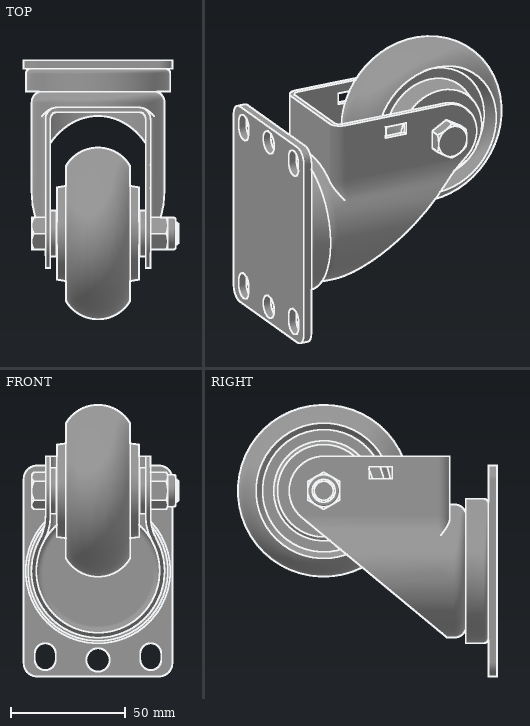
import cadquery as cq
import math


total_width = 67.5
total_depth = 113.0
total_height = 118.5
axle_height = 35.0

plate_width = 64.9
plate_height = 92.0
plate_thickness = 3.8
plate_corner = 6.0
slot_width = 9.0
slot_length = 11.6
slot_x = 23.0
slot_z = 37.3
center_hole_diameter = 10.1
center_hole_z = 38.7

ring_radius = 31.5
ring_end = 13.7
ring_wall = 1.1
ring_fillet = 2.0
ring_recess = 5.9
raceway_radius = 17.8

sheet = 2.1
dome_radius = 29.0
dome_base = 13.5
leg_outer = 22.9
leg_end_radius = 15.0
flare_radius = 20.0
channel_base = 20.6
bend_radius = 5.0
slant_angle = math.radians(39.6)
window_length = 10.2
window_height = 5.1
window_depth = 50.7
window_z = 42.8

wheel_radius = total_height - plate_height / 2 - axle_height
axle_depth = total_depth - wheel_radius
tire_half_width = 14.0
tire_edge_radius = 29.5
recess_floor_radius = 26.7
recess_curve_radius = 7.1
web_half_width = 8.0
hub_half_width = 17.9
hub_radius = 20.1
hub_root_radius = 21.8

spacer_radius = 10.1
spacer_gap = 0.2
bolt_radius = 5.0
hex_across_flats = 14.0
head_chamfer = 1.0
nut_chamfer = 0.6
head_end = 28.9
nut_end = 30.3
collar_radius = 7.0
collar_end = 33.9
collar_fillet = 1.0
bolt_end = total_width - plate_width / 2
bolt_tip_chamfer = 0.8

fork_top = axle_height + leg_end_radius
leg_inner = leg_outer - sheet


def at_depth(depth):
    """Workplane parallel to the plate, facing away from it."""
    return cq.Workplane("XZ", origin=(0, -depth, 0))


def at_axle(x):
    """Workplane normal to the axle, centred on it, facing +X."""
    return cq.Workplane("YZ", origin=(x, -axle_depth, axle_height))


def make_plate():
    plate = at_depth(0).rect(plate_width, plate_height).extrude(plate_thickness)
    plate = plate.edges("|Y").fillet(plate_corner)
    slots = (
        at_depth(0)
        .rect(2 * slot_x, 2 * slot_z, forConstruction=True)
        .vertices()
        .slot2D(slot_length, slot_width, 90)
        .extrude(plate_thickness)
    )
    holes = (
        at_depth(0)
        .pushPoints([(0, center_hole_z), (0, -center_hole_z)])
        .circle(center_hole_diameter / 2)
        .extrude(plate_thickness)
    )
    return plate.cut(slots).cut(holes)


def make_ring():
    ring = at_depth(plate_thickness).circle(ring_radius).extrude(ring_end - plate_thickness)
    ring = ring.faces(">Y").edges().fillet(ring_fillet)
    recess = at_depth(ring_end - ring_recess).circle(ring_radius - ring_wall).extrude(ring_recess)
    raceway = at_depth(ring_end - ring_recess).circle(raceway_radius).extrude(ring_recess)
    return ring.cut(recess).union(raceway)


def channel_outline(offset, top):
    """Keyhole outline of the fork, moved inward by offset: legs, flares and round bottom."""
    leg = leg_outer - offset
    round_radius = dome_radius - offset
    flare = flare_radius + offset
    center_x = leg + flare
    reach = round_radius + flare
    flare_start = math.sqrt(reach**2 - center_x**2)
    flare_angle = math.atan2(flare_start, center_x)
    tangent_x = round_radius * math.cos(flare_angle)
    tangent_z = round_radius * math.sin(flare_angle)
    middle_x = center_x - flare * math.cos(flare_angle / 2)
    middle_z = flare_start - flare * math.sin(flare_angle / 2)
    return (
        at_depth(channel_base + offset)
        .moveTo(-leg, top)
        .lineTo(-leg, flare_start)
        .threePointArc((-middle_x, middle_z), (-tangent_x, tangent_z))
        .threePointArc((0, -round_radius), (tangent_x, tangent_z))
        .threePointArc((middle_x, middle_z), (leg, flare_start))
        .lineTo(leg, top)
        .close()
    )


def fork_volume(offset, top):
    """Dome and channel filled solid, moved inward by offset."""
    bend = bend_radius - offset
    channel = channel_outline(offset, top).extrude(total_depth)
    channel = channel.faces(">Y").edges("not >Z").fillet(bend)
    base = dome_base + offset
    dome = at_depth(base).circle(dome_radius - offset).extrude(channel_base + bend_radius - base)
    dome = dome.faces(">Y").edges().fillet(bend)
    return channel.union(dome)


def fork_side():
    """Side silhouette of the fork: round leg ends and the slanted lower edge."""
    tangent_y = -axle_depth - leg_end_radius * math.sin(slant_angle)
    tangent_z = axle_height - leg_end_radius * math.cos(slant_angle)
    slant_end_y = tangent_y + (tangent_z + dome_radius) / math.tan(slant_angle)
    return (
        cq.Workplane("YZ")
        .moveTo(0, fork_top)
        .lineTo(-axle_depth, fork_top)
        .threePointArc((-axle_depth - leg_end_radius, axle_height), (tangent_y, tangent_z))
        .lineTo(slant_end_y, -dome_radius)
        .lineTo(0, -dome_radius)
        .close()
        .extrude(dome_radius, both=True)
    )


def make_fork():
    shell = fork_volume(0, fork_top).cut(fork_volume(sheet, fork_top + sheet))
    windows = cq.Workplane().box(2 * dome_radius, window_length, window_height)
    windows = windows.translate((0, -window_depth, window_z))
    return shell.intersect(fork_side()).cut(windows)


def make_wheel():
    profile = (
        cq.Workplane("XY")
        .moveTo(-hub_half_width, 0)
        .lineTo(-hub_half_width, hub_radius)
        .lineTo(-web_half_width, hub_root_radius)
        .lineTo(-web_half_width, recess_floor_radius)
        .radiusArc((-tire_half_width, tire_edge_radius), -recess_curve_radius)
        .threePointArc((0, wheel_radius), (tire_half_width, tire_edge_radius))
        .radiusArc((web_half_width, recess_floor_radius), -recess_curve_radius)
        .lineTo(web_half_width, hub_root_radius)
        .lineTo(hub_half_width, hub_radius)
        .lineTo(hub_half_width, 0)
        .close()
    )
    wheel = profile.revolve(360, (0, 0, 0), (1, 0, 0))
    return wheel.translate((0, -axle_depth, axle_height))


def make_hex(start_x, end_x, chamfer):
    """Hexagon with corners up and down, its outer corners trimmed by a cone."""
    length = abs(end_x - start_x)
    corner_radius = hex_across_flats / math.sqrt(3)
    prism = at_axle(0).transformed(rotate=(0, 0, 90)).polygon(6, 2 * corner_radius).extrude(length)
    cone = at_axle(0).circle(corner_radius).extrude(length)
    cone = cone.faces(">X").chamfer(chamfer, corner_radius - hex_across_flats / 2)
    solid = prism.intersect(cone)
    if end_x < start_x:
        solid = solid.mirror("YZ")
    return solid.translate((start_x, 0, 0))


def make_axle():
    shaft = at_axle(-leg_outer).circle(bolt_radius).extrude(leg_outer + bolt_end)
    shaft = shaft.faces(">X").chamfer(bolt_tip_chamfer)
    collar = at_axle(leg_outer).circle(collar_radius).extrude(collar_end - leg_outer)
    collar = collar.faces(">X").edges().fillet(collar_fillet)
    spacer_start = hub_half_width + spacer_gap
    spacer = at_axle(spacer_start).circle(spacer_radius).extrude(leg_inner - spacer_start)
    head = make_hex(-leg_outer, -head_end, head_chamfer)
    nut = make_hex(leg_outer, nut_end, nut_chamfer)
    axle = shaft.union(collar).union(head).union(nut)
    return axle.union(spacer).union(spacer.mirror("YZ"))


result = make_plate().union(make_ring()).union(make_fork()).union(make_wheel()).union(make_axle())